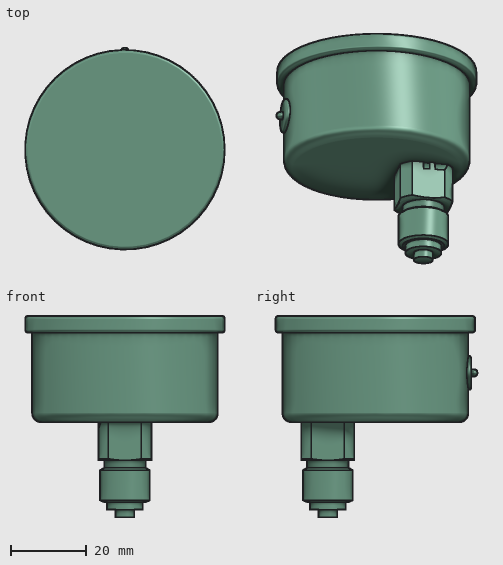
import cadquery as cq
import math


total_height = 53.0
bezel_diameter = 52.6
bezel_height = 4.4
bezel_round = 0.8
case_diameter = 49.0
case_bottom_z = 25.0
case_bottom_round = 2.5

stem_y = -12.5
tip_diameter = 5.0
tip_top_z = 2.0
pilot_diameter = 9.5
pilot_top_z = 4.0
thread_diameter = 13.16
thread_top_z = 13.0
thread_bottom_chamfer_radial = 1.1
thread_bottom_chamfer_height = 0.5
neck_diameter = 11.0
thread_top_chamfer_height = 0.65
flats_bottom_z = 15.0

flats_width = 14.0
flats_corner_diameter = 16.5
flats_chamfer_height = 0.4

notch_height = 1.9
notch_depth = 0.63
narrow_notch_y = (-0.4, 1.3)
corner_notch_y = (-flats_corner_diameter / 2, -1.8)

plug_z = 38.0
plug_diameter = 9.0
plug_face_y = 25.25
plug_edge_round = 0.7
pin_diameter = 2.0
pin_tip_y = 26.9
plug_root_y = 22.0


def make_case():
    """Cylindrical case with a rounded bottom edge, closed by the wider bezel ring."""
    case = (
        cq.Workplane("XY", origin=(0, 0, case_bottom_z))
        .circle(case_diameter / 2)
        .extrude(total_height - bezel_height / 2 - case_bottom_z)
        .faces("<Z")
        .edges()
        .fillet(case_bottom_round)
    )
    bezel = (
        cq.Workplane("XY", origin=(0, 0, total_height - bezel_height))
        .circle(bezel_diameter / 2)
        .extrude(bezel_height)
        .edges()
        .fillet(bezel_round)
    )
    return case.union(bezel)


def make_turned_stem():
    """Tip, pilot, thread body and neck as one revolved profile."""
    tip_radius = tip_diameter / 2
    pilot_radius = pilot_diameter / 2
    thread_radius = thread_diameter / 2
    neck_radius = neck_diameter / 2
    profile = [
        (0, 0),
        (tip_radius, 0),
        (tip_radius, tip_top_z),
        (pilot_radius, tip_top_z),
        (pilot_radius, pilot_top_z),
        (thread_radius - thread_bottom_chamfer_radial, pilot_top_z),
        (thread_radius, pilot_top_z + thread_bottom_chamfer_height),
        (thread_radius, thread_top_z - thread_top_chamfer_height),
        (neck_radius, thread_top_z),
        (neck_radius, flats_bottom_z),
        (0, flats_bottom_z),
    ]
    return cq.Workplane("XZ").polyline(profile).close().revolve(360, (0, 0), (0, 1))


def make_notch(y_range):
    """Wedge that deepens upwards from the -X flat until it meets the case."""
    y_start, y_end = y_range
    flat_x = -flats_width / 2
    section = [
        (flat_x, case_bottom_z - notch_height),
        (flat_x + notch_depth, case_bottom_z),
        (-flats_corner_diameter / 2, case_bottom_z),
        (-flats_corner_diameter / 2, case_bottom_z - notch_height),
    ]
    return cq.Workplane("XZ", origin=(0, y_end, 0)).polyline(section).close().extrude(y_end - y_start)


def make_wrench_square():
    """Square section with cylindrical corners, a conical lower edge and the notches."""
    corner_radius = flats_corner_diameter / 2
    half_width = flats_width / 2
    envelope_profile = [
        (0, flats_bottom_z),
        (half_width, flats_bottom_z),
        (corner_radius, flats_bottom_z + flats_chamfer_height),
        (corner_radius, case_bottom_z),
        (0, case_bottom_z),
    ]
    envelope = cq.Workplane("XZ").polyline(envelope_profile).close().revolve(360, (0, 0), (0, 1))
    square = (
        cq.Workplane("XY", origin=(0, 0, flats_bottom_z))
        .rect(flats_width, flats_width)
        .extrude(case_bottom_z - flats_bottom_z)
    )
    body = envelope.intersect(square)
    for y_range in (narrow_notch_y, corner_notch_y):
        body = body.cut(make_notch(y_range))
    return body


def make_plug():
    """Disc with a rounded rim on the +Y side of the case and a round-headed pin at its centre."""
    disc = (
        cq.Workplane("XZ", origin=(0, plug_face_y, plug_z))
        .circle(plug_diameter / 2)
        .extrude(plug_face_y - plug_root_y)
        .faces(">Y")
        .edges()
        .fillet(plug_edge_round)
    )
    pin_radius = pin_diameter / 2
    head_y = pin_tip_y - pin_radius
    arc_middle_offset = pin_radius * math.sqrt(0.5)
    pin = (
        cq.Workplane("XY", origin=(0, 0, plug_z))
        .moveTo(0, plug_root_y)
        .lineTo(pin_radius, plug_root_y)
        .lineTo(pin_radius, head_y)
        .threePointArc((arc_middle_offset, head_y + arc_middle_offset), (0, pin_tip_y))
        .close()
        .revolve(360, (0, 0), (0, 1))
    )
    return disc.union(pin)


stem = make_turned_stem().union(make_wrench_square()).translate((0, stem_y, 0))
result = make_case().union(stem).union(make_plug())